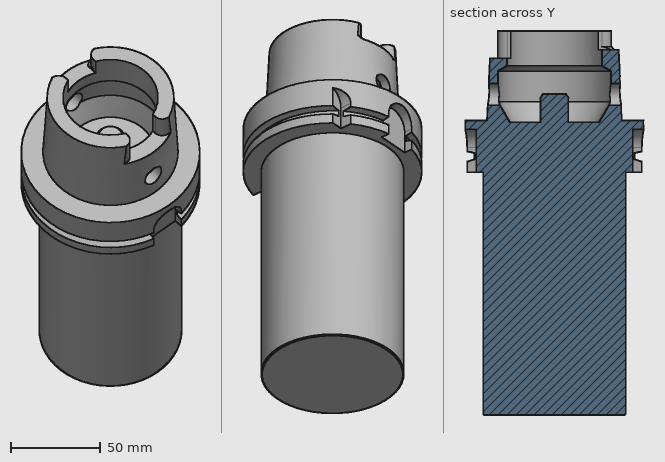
import cadquery as cq
import math

total_height = 215.0
shank_length = 135.8
flange_height = 29.0
flange_top = shank_length + flange_height

shank_radius = 80.0 / 2
shank_chamfer = 0.6
flange_radius = 100.0 / 2
groove_radius = 46.0
groove_floor_bottom = shank_length + 7.3
groove_floor_top = flange_top - 18.3
groove_lower_lip = shank_length + 6.0
groove_upper_lip = flange_top - 17.5

taper_base_radius = 37.8
taper_top_radius = 35.5

bore_radius = 53.0 / 2
bore_depth = 19.5
undercut_radius = 63.2 / 2
shoulder_angle = 30.0
undercut_bottom = 175.4
cavity_floor_radius = 25.0
bottom_angle = 60.0

boss_radius = 16.0 / 2
boss_top = 179.7
boss_chamfer = 1.5
boss_chamfer_height = 2.1
cross_hole_radius = 12.0 / 2
cross_hole_height = flange_top + 14.6

notch_width = 20.2
left_notch_depth = 10.5
right_notch_depth = 15.3
notch_corner_radius = 5.4
notch_mouth = 31.8
notch_reach = 25.8
left_notch_foot = 1.7

keyway_width = 20.2
keyway_rise = 24.0
keyway_floor = 43.8
side_keyway_floor = 31.8
side_keyway_offset = 41.5


def make_body():
    """Shank, grooved flange and taper, turned about Z."""
    outline = [
        (0, 0),
        (shank_radius - shank_chamfer, 0),
        (shank_radius, shank_chamfer),
        (shank_radius, shank_length),
        (flange_radius, shank_length),
        (flange_radius, groove_lower_lip),
        (groove_radius, groove_floor_bottom),
        (groove_radius, groove_floor_top),
        (flange_radius, groove_upper_lip),
        (flange_radius, flange_top),
        (taper_base_radius, flange_top),
        (taper_top_radius, total_height),
        (0, total_height),
    ]
    return cq.Workplane("XZ").polyline(outline).close().revolve(360, (0, 0), (0, 1))


def make_cavity():
    """Clamping cavity with the coolant boss left standing on its floor."""
    bore_end = total_height - bore_depth
    shoulder_height = (undercut_radius - bore_radius) * math.tan(math.radians(shoulder_angle))
    cone_width = undercut_radius - cavity_floor_radius
    cavity_floor = undercut_bottom - cone_width * math.tan(math.radians(bottom_angle))
    outline = [
        (0, total_height),
        (bore_radius, total_height),
        (bore_radius, bore_end),
        (undercut_radius, bore_end - shoulder_height),
        (undercut_radius, undercut_bottom),
        (cavity_floor_radius, cavity_floor),
        (boss_radius, cavity_floor),
        (boss_radius, boss_top - boss_chamfer_height),
        (boss_radius - boss_chamfer, boss_top),
        (0, boss_top),
    ]
    return cq.Workplane("XZ").polyline(outline).close().revolve(360, (0, 0), (0, 1))


def make_rim_end(side, hand, grow):
    """Rounded outline of the rim end beside a notch, enlarged outward by grow."""
    length = notch_mouth + grow
    width = notch_reach - notch_width / 2 + grow
    corner = ">X" if side > 0 else "<X"
    corner += " and <Y" if hand > 0 else " and >Y"
    return (
        cq.Sketch()
        .push([(side * length / 2, hand * (notch_reach - width / 2))])
        .rect(length, width)
        .reset()
        .vertices(corner)
        .fillet(notch_corner_radius + grow)
        .reset()
    )


def make_notch(side, depth, foot):
    """Rim notch with rounded corners; side is -1 or +1 along X.

    A chamfered foot of the given size may stand at the base of both rounded ends.
    """
    plane = cq.Workplane("XY", origin=(0, 0, total_height - depth))
    middle = plane.center(side * flange_radius / 2, 0)
    notch = middle.rect(flange_radius, 2 * notch_reach).extrude(depth)
    for hand in (-1, 1):
        notch = notch.cut(plane.placeSketch(make_rim_end(side, hand, 0)).extrude(depth))
        if foot > 0:
            base = plane.placeSketch(make_rim_end(side, hand, foot))
            notch = notch.cut(base.extrude(foot, taper=45))
    return notch.union(middle.rect(flange_radius, notch_width).extrude(depth))


def make_keyway(side, floor, offset):
    """Round-topped keyway, open at the flange bottom and cut in along X to its floor."""
    half_width = keyway_width / 2
    arc_start = shank_length + keyway_rise - half_width
    return (
        cq.Workplane("YZ", origin=(side * floor, 0, 0))
        .moveTo(offset - half_width, shank_length)
        .lineTo(offset - half_width, arc_start)
        .threePointArc((offset, arc_start + half_width), (offset + half_width, arc_start))
        .lineTo(offset + half_width, shank_length)
        .close()
        .extrude(side * (flange_radius - floor))
    )


cross_hole = (
    cq.Workplane("YZ", origin=(-flange_radius, 0, cross_hole_height))
    .circle(cross_hole_radius)
    .extrude(2 * flange_radius)
)
wall_holes = cross_hole.cut(cq.Workplane("XY").circle(cavity_floor_radius).extrude(total_height))

result = make_body().cut(make_cavity()).cut(wall_holes)
result = result.cut(make_notch(-1, left_notch_depth, left_notch_foot))
result = result.cut(make_notch(1, right_notch_depth, 0))
for side in (-1, 1):
    result = result.cut(make_keyway(side, keyway_floor, 0))
result = result.cut(make_keyway(-1, side_keyway_floor, side_keyway_offset))